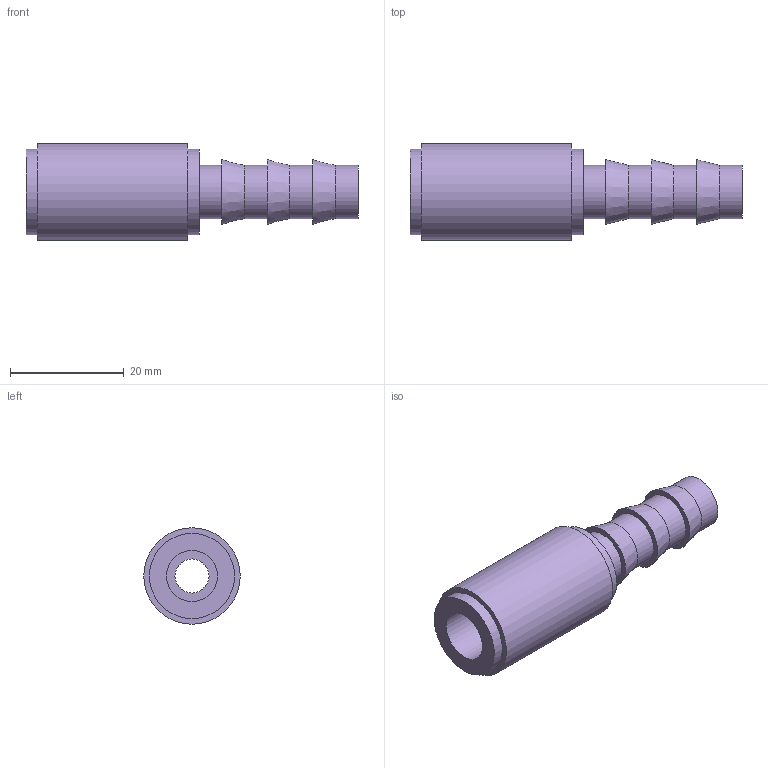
import cadquery as cq

total_length = 58.5
body_length = 30.5
body_diameter = 17.0
collar_diameter = 15.0
collar_width = 2.0

tail_diameter = 9.4
barb_diameter = 11.4
barb_length = 4.0
barb_pitch = 8.0
barb_count = 3
plain_tip_length = 4.0

socket_diameter = 9.0
bore_diameter = 6.0
socket_depth = body_length - collar_width


def cylinder(diameter, start, length):
    """Cylinder on the X axis, beginning at x = start."""
    return cq.Workplane("YZ", origin=(start, 0, 0)).circle(diameter / 2).extrude(length)


def barb(start):
    """Cone with its sharp shoulder at x = start, tapering to the tail toward +X."""
    profile = [
        (start, 0),
        (start, barb_diameter / 2),
        (start + barb_length, tail_diameter / 2),
        (start + barb_length, 0),
    ]
    return cq.Workplane("XY").polyline(profile).close().revolve(360, (0, 0, 0), (1, 0, 0))


def outer_shape():
    """Body with a narrower collar at each end, followed by the barbed tail."""
    shape = cylinder(collar_diameter, 0, body_length)
    shape = shape.union(cylinder(body_diameter, collar_width, body_length - 2 * collar_width))
    shape = shape.union(cylinder(tail_diameter, 0, total_length))
    last_barb_start = total_length - plain_tip_length - barb_length
    for index in range(barb_count):
        shape = shape.union(barb(last_barb_start - index * barb_pitch))
    return shape


def cut_bore(shape):
    """Through bore, widened to a socket from the body end."""
    shape = shape.cut(cylinder(bore_diameter, 0, total_length))
    return shape.cut(cylinder(socket_diameter, 0, socket_depth))


result = cut_bore(outer_shape())